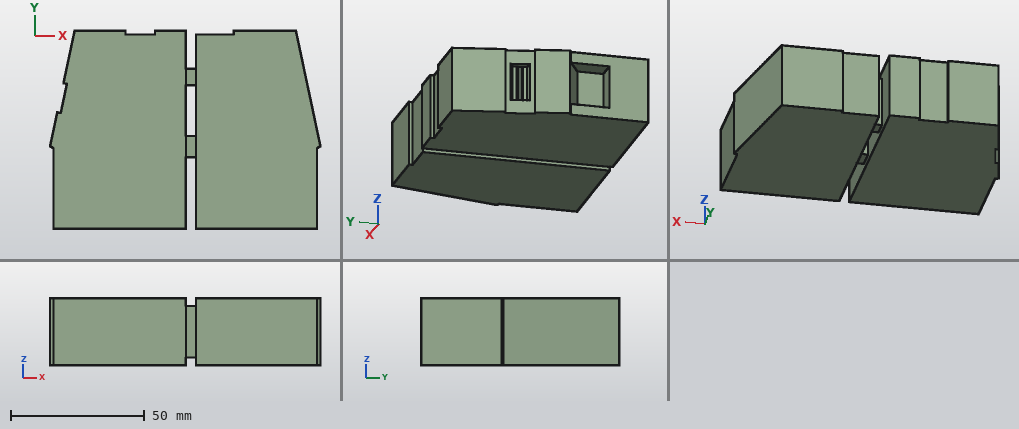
import cadquery as cq
import math

TOTAL_WIDTH = 101.0
TOTAL_LENGTH = 73.9
THICKNESS = 25.0

FLANK_ANGLE = math.radians(12)
LIP_Y = 30.8
LIP_OVERHANG = 1.3
LIP_ANGLE = math.radians(30)

GAP_LEFT = 0.2
GAP_RIGHT = 3.9
BAR_HEIGHT = 19.3
BAR_SPANS = ((26.7, 34.6), (53.5, 59.8))

END_NOTCH_DEPTH = 1.4
LEFT_NOTCH_START = -22.2
LEFT_NOTCH_END = -11.3
RIGHT_NOTCH_END = 18.1

FLANK_NOTCH_START = 13.0
FLANK_NOTCH_END = 24.0
FLANK_NOTCH_DEPTH = 1.3

WINDOW_HEIGHT = 14.3
WINDOW_START = 14.8
WINDOW_END = 22.2
WINDOW_SILL_RISE = 0.9
WINDOW_LEAD_IN = 0.9
WINDOW_LEAD_DEPTH = 2.1
WINDOW_DEPTH = 3.0
RIDGE_POSITIONS = (17.6, 19.4)
RIDGE_WIDTH = 0.7
RIDGE_HEIGHT = 0.12

POCKET_HEIGHT = 16.5
POCKET_BOTTOM_Y = 15.2
POCKET_DEPTH = 8.4

half_width = TOTAL_WIDTH / 2
wall_x = half_width - LIP_OVERHANG
wall_top_y = LIP_Y - LIP_OVERHANG * math.tan(LIP_ANGLE)
flank_top_x = half_width - (TOTAL_LENGTH - LIP_Y) * math.tan(FLANK_ANGLE)
notch_floor_y = TOTAL_LENGTH - END_NOTCH_DEPTH


def flank_point(along, depth):
    """XY point at a distance up the left flank from the lip and a depth square to it."""
    x = -half_width + along * math.sin(FLANK_ANGLE) + depth * math.cos(FLANK_ANGLE)
    y = LIP_Y + along * math.cos(FLANK_ANGLE) - depth * math.sin(FLANK_ANGLE)
    return (x, y)


def prism(points, height):
    """Extrude an XY outline symmetrically about Z = 0."""
    return cq.Workplane("XY").polyline(points).close().extrude(height / 2, both=True)


def left_half():
    return prism(
        [
            (GAP_LEFT, 0),
            (GAP_LEFT, TOTAL_LENGTH),
            (LEFT_NOTCH_END, TOTAL_LENGTH),
            (LEFT_NOTCH_END, notch_floor_y),
            (LEFT_NOTCH_START, notch_floor_y),
            (LEFT_NOTCH_START, TOTAL_LENGTH),
            (-flank_top_x, TOTAL_LENGTH),
            flank_point(FLANK_NOTCH_END, 0),
            flank_point(FLANK_NOTCH_END, FLANK_NOTCH_DEPTH),
            flank_point(FLANK_NOTCH_START, FLANK_NOTCH_DEPTH),
            flank_point(FLANK_NOTCH_START, 0),
            (-half_width, LIP_Y),
            (-wall_x, wall_top_y),
            (-wall_x, 0),
        ],
        THICKNESS,
    )


def right_half():
    return prism(
        [
            (GAP_RIGHT, 0),
            (GAP_RIGHT, notch_floor_y),
            (RIGHT_NOTCH_END, notch_floor_y),
            (RIGHT_NOTCH_END, TOTAL_LENGTH),
            (flank_top_x, TOTAL_LENGTH),
            (half_width, LIP_Y),
            (wall_x, wall_top_y),
            (wall_x, 0),
        ],
        THICKNESS,
    )


def bridge_bar(start_y, end_y):
    return prism(
        [(GAP_LEFT, start_y), (GAP_RIGHT, start_y), (GAP_RIGHT, end_y), (GAP_LEFT, end_y)],
        BAR_HEIGHT,
    )


def flank_window():
    """Recess with a slanted upper lead-in and small V ridges standing on its floor."""
    floor_depth = FLANK_NOTCH_DEPTH + WINDOW_DEPTH
    lead_depth = FLANK_NOTCH_DEPTH + WINDOW_LEAD_DEPTH
    outline = [
        flank_point(WINDOW_END, FLANK_NOTCH_DEPTH),
        flank_point(WINDOW_START, FLANK_NOTCH_DEPTH),
        flank_point(WINDOW_START + WINDOW_SILL_RISE, floor_depth),
    ]
    for ridge in RIDGE_POSITIONS:
        outline.append(flank_point(ridge - RIDGE_WIDTH / 2, floor_depth))
        outline.append(flank_point(ridge, floor_depth - RIDGE_HEIGHT))
        outline.append(flank_point(ridge + RIDGE_WIDTH / 2, floor_depth))
    outline.append(flank_point(WINDOW_END - WINDOW_LEAD_IN, floor_depth))
    outline.append(flank_point(WINDOW_END - WINDOW_LEAD_IN, lead_depth))
    return prism(outline, WINDOW_HEIGHT)


def wall_pocket():
    """Pocket whose upper side carries on the slope of the lip's underside."""
    floor_x = -wall_x + POCKET_DEPTH
    floor_top_y = wall_top_y - POCKET_DEPTH * math.tan(LIP_ANGLE)
    return prism(
        [
            (-wall_x, wall_top_y),
            (floor_x, floor_top_y),
            (floor_x, POCKET_BOTTOM_Y),
            (-wall_x, POCKET_BOTTOM_Y),
        ],
        POCKET_HEIGHT,
    )


result = left_half().cut(flank_window()).cut(wall_pocket()).union(right_half())
for bar_start, bar_end in BAR_SPANS:
    result = result.union(bridge_bar(bar_start, bar_end))